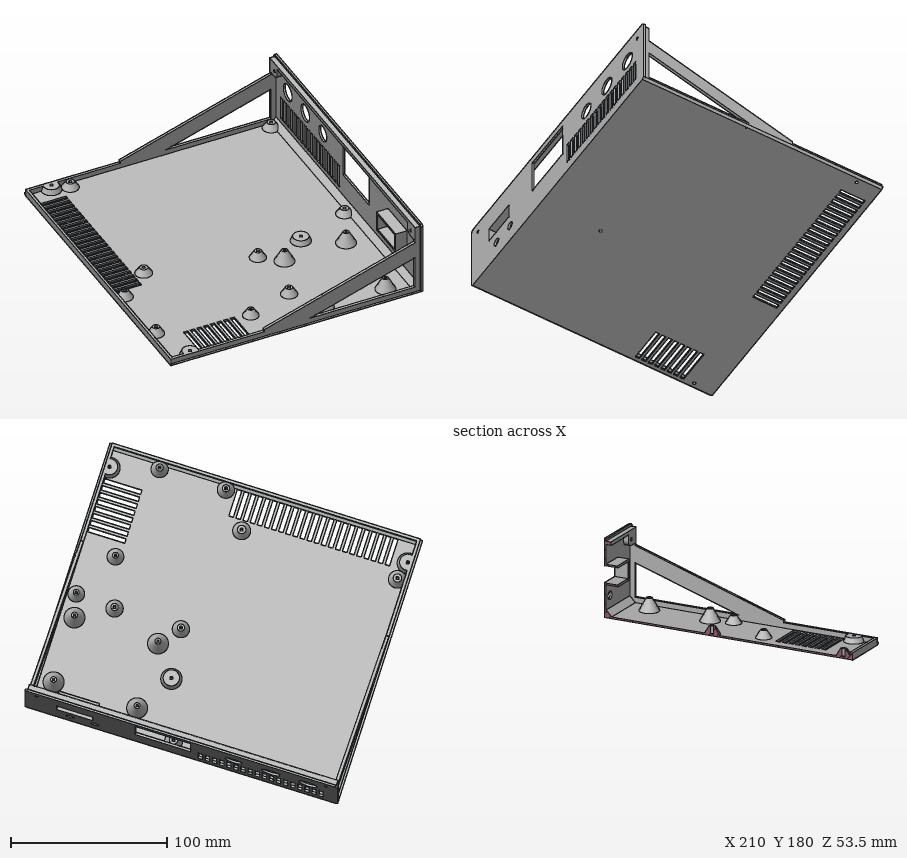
import cadquery as cq
length = 210.0
depth = 180.0
height = 53.5
wall = 1.5
overshoot = 2.0

rim_height = 5.0
side_rim = 2.0
front_rim = 1.9
top_rim = 2.5
corner_bevel = 4.0
front_slope_depth = 2.0
front_slope_rise = 0.8

brace_top = 40.1
brace_drop = 11.8
brace_slope = 0.31
brace_front = 67.0

jack_x = 20.0
jack_pitch = 25.0
jack_z = 35.3
jack_diameters = (12.2, 12.2, 11.1)
button_xs = (163.0, 179.5)
button_z = 13.9
button_diameter = 5.5
window_x = 98.7
window_z = 21.6
window_width = 37.2
window_height = 26.7

socket_x = 163.0
socket_z = 22.3
socket_width = 27.0
socket_height = 14.3
socket_wall = 1.5
socket_reach = 9.7

lug_inset = 8.0
lug_radius = 4.2
screw_hole = 2.0
pin_hole = 1.5

slot_width = 3.0
slot_pitch = 4.77
back_slot_count = 18
back_slot_x = 9.7
back_slot_z = 8.6
back_slot_height = 16.4
front_slot_count = 23
front_slot_x = 15.3
front_slot_y = 4.0
front_slot_depth = 18.0
side_slot_count = 8
side_slot_x = 181.2
side_slot_y = 22.9
side_slot_length = 24.8

tall_points = [(x, y) for x in (141.1, 197.2) for y in (115.3, 159.4)]
medium_points = [(x, y) for x in (130.0, 174.5) for y in (6.5, 101.8)]
small_points = [(200.8, 100.2), (184.2, 69.5)]
flat_points = [(x, y) for x in (7.8, 112.4) for y in (29.0, 172.8)]
screw_points = [(126.0, 134.6), (4.6, 17.0), (205.4, 15.3)]
tall_top = 10.0
low_top = 6.7
flat_top = 5.9

back_face = depth - wall
rim_face = depth - rim_height
rim_top = height - wall
rim_length = length - 2 * wall
inner_x = wall + side_rim
lug_z = height - lug_inset


def block(x, y, z, dx, dy, dz):
    """Box given by its lowest corner and its sizes."""
    return cq.Workplane("XY").box(dx, dy, dz, centered=False).translate((x, y, z))


def side_profile(points, x, thickness):
    """Closed (y, z) outline extruded along X from x."""
    return cq.Workplane("YZ", origin=(x, 0, 0)).polyline(points).close().extrude(thickness)


def panel_cylinder(x, z, diameter, start_y, end_y):
    """Cylinder along Y."""
    base = cq.Workplane("XZ", origin=(x, end_y, z)).circle(diameter / 2)
    return base.extrude(end_y - start_y)


def make_plates():
    """Floor and back panel with beveled outline."""
    envelope = block(0, 0, 0, length, depth, height).edges("|Y").chamfer(wall)
    floor = block(0, 0, 0, length, depth, wall)
    panel = block(0, back_face, 0, length, wall, height)
    return envelope.intersect(floor.union(panel))


def make_rims():
    """Rims of both plates with the sloped corners left inside them."""
    floor_body = block(wall, 0, 0, rim_length, back_face, rim_height)
    panel_body = block(wall, rim_face, 0, rim_length, back_face - rim_face, rim_top)
    cavity_outline = [
        (front_rim, rim_top - top_rim),
        (front_rim, wall + front_slope_rise),
        (front_rim + front_slope_depth, wall),
        (back_face - corner_bevel, wall),
        (back_face, wall + corner_bevel),
        (back_face, rim_top - top_rim),
    ]
    cavity = side_profile(cavity_outline, inner_x, length - 2 * inner_x)
    return floor_body.union(panel_body).cut(cavity)


def make_brace(x):
    """Sloping bar between the floor rim and the back panel rim, rooted in both."""
    brace_low = brace_top - brace_drop
    foot_y = rim_face - (brace_low - rim_height) / brace_slope
    front_z = brace_top - brace_slope * (rim_face - brace_front)
    outline = [
        (back_face, brace_top),
        (rim_face, brace_top),
        (brace_front, front_z),
        (brace_front, wall),
        (foot_y, wall),
        (foot_y, rim_height),
        (rim_face, brace_low),
        (back_face, brace_low),
    ]
    return side_profile(outline, x, side_rim)


def make_left_lug():
    """Pad filling the upper left corner, its free corner rounded about the screw hole."""
    thickness = back_face - rim_face
    reach = lug_inset - wall
    lug_height = rim_top - lug_z
    round_end = panel_cylinder(lug_inset, lug_z, 2 * lug_radius, rim_face, back_face)
    lower = block(wall, rim_face, lug_z - lug_radius, reach, thickness, lug_height + lug_radius)
    upper = block(wall, rim_face, lug_z, reach + lug_radius, thickness, lug_height)
    return round_end.union(lower).union(upper)


def make_standoff(x, y, base_diameter, top_diameter, top_z):
    """Tapered standoff rising from the floor."""
    base = cq.Workplane("XY", origin=(x, y, wall)).circle(base_diameter / 2)
    return base.workplane(offset=top_z - wall).circle(top_diameter / 2).loft()


def add_standoffs(body, points, base_diameter, top_diameter, top_z, hole_diameter, hole_bottom=wall):
    """Standoffs trimmed to the rim outline, each with a hole down to hole_bottom."""
    trim = block(wall, 0, 0, rim_length, back_face, height)
    for x, y in points:
        body = body.union(make_standoff(x, y, base_diameter, top_diameter, top_z).intersect(trim))
    for x, y in points:
        hole = cq.Workplane("XY", origin=(x, y, hole_bottom)).circle(hole_diameter / 2)
        body = body.cut(hole.extrude(top_z + overshoot - hole_bottom))
    return body


def cut_panel_hole(body, x, z, diameter):
    return body.cut(panel_cylinder(x, z, diameter, rim_face - overshoot, depth + overshoot))


body = make_plates().union(make_rims())
for brace_x in (wall, length - inner_x):
    body = body.union(make_brace(brace_x))
left_lug = make_left_lug()
body = body.union(left_lug).union(left_lug.mirror("YZ", (length / 2, 0, 0)))
sleeve_y = depth - socket_reach
body = body.union(block(socket_x, sleeve_y, socket_z, socket_width, back_face - sleeve_y, socket_height))

body = add_standoffs(body, tall_points, 13.5, 3.8, tall_top, pin_hole)
body = add_standoffs(body, medium_points, 11.1, 4.6, low_top, screw_hole)
body = add_standoffs(body, small_points, 10.7, 3.8, low_top, pin_hole)
body = add_standoffs(body, flat_points, 11.5, 5.5, flat_top, screw_hole)
body = add_standoffs(body, screw_points, 13.6, 10.5, rim_height, screw_hole, hole_bottom=-overshoot)

for index, diameter in enumerate(jack_diameters):
    body = cut_panel_hole(body, jack_x + index * jack_pitch, jack_z, diameter)
for button_x in button_xs:
    body = cut_panel_hole(body, button_x, button_z, button_diameter)
for lug_x in (lug_inset, length - lug_inset):
    body = cut_panel_hole(body, lug_x, lug_z, screw_hole)

panel_cut = rim_height + overshoot
body = body.cut(block(window_x, rim_face, window_z, window_width, panel_cut, window_height))
body = body.cut(block(
    socket_x + socket_wall,
    sleeve_y,
    socket_z + socket_wall,
    socket_width - 2 * socket_wall,
    socket_reach + overshoot,
    socket_height - 2 * socket_wall,
))

floor_cut = rim_height + overshoot
for index in range(back_slot_count):
    x = back_slot_x + index * slot_pitch
    body = body.cut(block(x, rim_face, back_slot_z, slot_width, panel_cut, back_slot_height))
for index in range(front_slot_count):
    x = front_slot_x + index * slot_pitch
    body = body.cut(block(x, front_slot_y, -overshoot, slot_width, front_slot_depth, floor_cut))
for index in range(side_slot_count):
    y = side_slot_y + index * slot_pitch
    body = body.cut(block(side_slot_x, y, -overshoot, side_slot_length, slot_width, floor_cut))

result = body